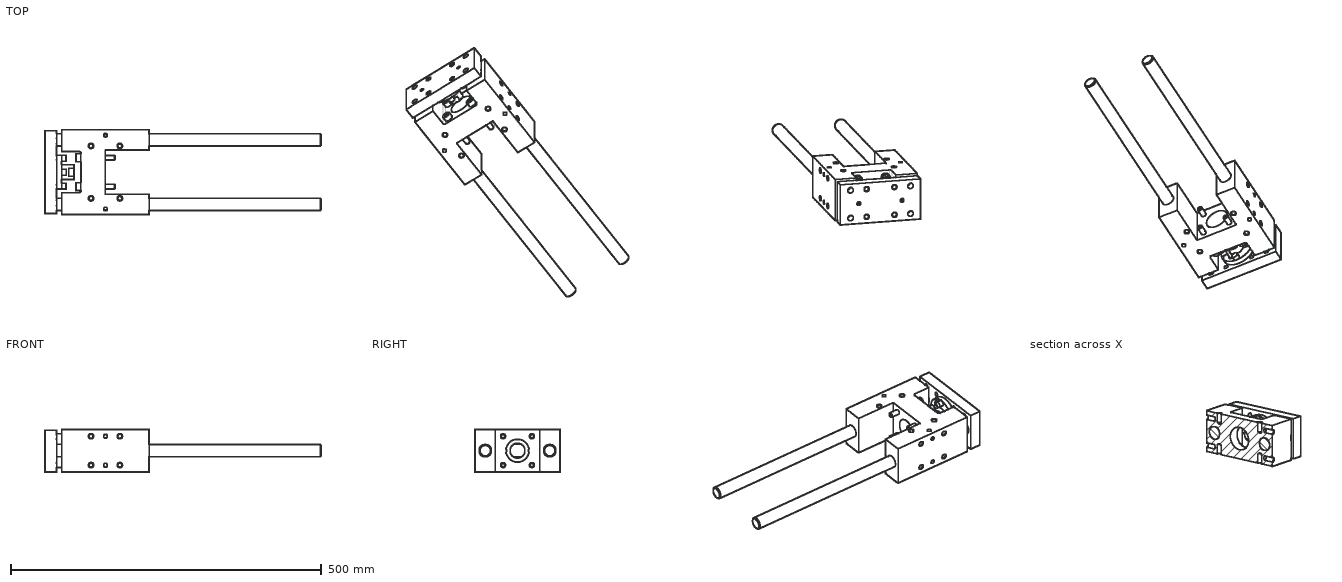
import cadquery as cq
import math

housing_length = 141.0
housing_width = 137.0
housing_height = 69.0
web_thickness = 39.5
front_bay_depth = 31.0
front_bay_width = 66.0
front_bay_corner_radius = 3.0
rear_bay_width = 71.0

total_length = 445.0
plate_thickness = 19.0
plate_width = 134.0
plate_height = 67.5
plate_gap = 8.0
rod_diameter = 20.0
rod_spacing = 104.0
rod_chamfer = 1.5

flange_diameter = 55.0
flange_thickness = plate_gap
flange_screw_circle = 45.0
flange_screw_count = 4
flange_screw_diameter = 10.0
flange_screw_height = 7.0
stud_diameter = 24.0
stud_end_x = 47.0
stud_flat_length = 9.0
stud_across_flats = 20.0

screw_pitch = 46.5
screw_diameter = 8.0
screw_head_diameter = 13.0
screw_head_height = 8.0
screw_socket_across_flats = 6.0
screw_socket_depth = 4.0
screw_protrusion = 15.5
screw_chamfer = 1.2
cylinder_bore = 37.0

thread_core_diameter = 6.65
thread_mouth_diameter = 8.5
thread_depth = 16.0
thread_mouth_depth = (thread_mouth_diameter - thread_core_diameter) / 2
drill_tip_angle = 118.0
dowel_diameter = 6.0
dowel_depth = 8.0
clearance_diameter = 9.0
hole_pitch = screw_pitch
top_thread_spacing = 84.5
top_dowel_spacing = 119.0
plate_clearance_spacing = 100.0
plate_dowel_spacing = 72.0

plate_middle_z = (plate_height - housing_height) / 2
housing_front_x = plate_thickness + plate_gap
housing_middle_x = housing_front_x + housing_length / 2
housing_rear_x = housing_front_x + housing_length
web_front_x = housing_front_x + front_bay_depth
web_rear_x = web_front_x + web_thickness
flange_end_x = plate_thickness + flange_thickness
halves = (-0.5, 0.5)


def x_cylinder(diameter, x_start, x_end, y=0.0, z=0.0):
    """Cylinder along X between two X positions."""
    disc = cq.Workplane("YZ", origin=(x_start, y, z)).circle(diameter / 2)
    return disc.extrude(x_end - x_start)


def blind_hole(diameter, depth, entry, direction):
    """Flat-bottomed hole tool starting at a face."""
    return cq.Solid.makeCylinder(diameter / 2, depth, cq.Vector(*entry), cq.Vector(*direction))


def drill_tip(entry, direction):
    """Conical end left by the drill below a threaded hole."""
    radius = thread_core_diameter / 2
    tip_length = radius / math.tan(math.radians(drill_tip_angle / 2))
    axis = cq.Vector(*direction)
    return cq.Solid.makeCone(radius, 0, tip_length, cq.Vector(*entry) + axis * thread_depth, axis)


def thread_mouth(entry, direction):
    """Countersink at the mouth of a threaded hole."""
    return cq.Solid.makeCone(
        thread_mouth_diameter / 2, thread_core_diameter / 2, thread_mouth_depth,
        cq.Vector(*entry), cq.Vector(*direction),
    )


def threaded_hole(entry, direction):
    """Blind threaded hole with a countersunk mouth and a conical end."""
    core = blind_hole(thread_core_diameter, thread_depth, entry, direction)
    return core.fuse(thread_mouth(entry, direction), drill_tip(entry, direction))


def make_web_screw(y, z):
    """Socket head screw running through the web, with its tip in the rear bay."""
    head_x = web_front_x - screw_head_height
    head = x_cylinder(screw_head_diameter, head_x, web_front_x, y, z)
    shank = x_cylinder(screw_diameter, web_front_x, web_rear_x + screw_protrusion, y, z)
    shank = shank.faces(">X").chamfer(screw_chamfer)
    socket_diameter = screw_socket_across_flats / math.cos(math.pi / 6)
    socket = cq.Workplane("YZ", origin=(head_x, y, z)).polygon(6, socket_diameter)
    return head.union(shank).cut(socket.extrude(screw_socket_depth))


def drill_face_row(block, y, z, dowel_y, inward):
    """Cut two threaded holes along X and the dowel hole midway between them."""
    dowel_entry = (housing_middle_x, dowel_y, z)
    block = block.cut(cq.Workplane(blind_hole(dowel_diameter, dowel_depth, dowel_entry, inward)))
    for along in halves:
        entry = (housing_middle_x + along * hole_pitch, y, z)
        block = block.cut(cq.Workplane(threaded_hole(entry, inward)))
    return block


def make_housing():
    """H-shaped block with its rod bores, web bore, screws and mounting holes."""
    block = cq.Workplane("XY").box(housing_length, housing_width, housing_height)
    block = block.translate((housing_middle_x, 0, 0))

    front_bay = cq.Workplane("XY").box(front_bay_depth, front_bay_width, housing_height)
    front_bay = front_bay.edges("|Z and >X").fillet(front_bay_corner_radius)
    block = block.cut(front_bay.translate((housing_front_x + front_bay_depth / 2, 0, 0)))

    rear_bay_depth = housing_rear_x - web_rear_x
    rear_bay = cq.Workplane("XY").box(rear_bay_depth, rear_bay_width, housing_height)
    block = block.cut(rear_bay.translate((web_rear_x + rear_bay_depth / 2, 0, 0)))

    block = block.cut(x_cylinder(cylinder_bore, web_front_x, web_rear_x))
    for side in halves:
        block = block.cut(x_cylinder(rod_diameter, housing_front_x, housing_rear_x, side * rod_spacing))

    for y_side in halves:
        for z_side in halves:
            block = block.union(make_web_screw(y_side * screw_pitch, z_side * screw_pitch))

    for side in halves:
        for across in halves:
            y = across * top_thread_spacing
            dowel_y = across * top_dowel_spacing
            block = drill_face_row(block, y, side * housing_height, dowel_y, (0, 0, -2 * side))

    for side in halves:
        for across in halves:
            y = side * housing_width
            block = drill_face_row(block, y, across * hole_pitch, y, (0, -2 * side, 0))
    return block


def make_coupling():
    """Round flange with its screw heads and a stud with two wrench flats."""
    coupling = x_cylinder(flange_diameter, plate_thickness, flange_end_x)
    screw_end_x = flange_end_x + flange_screw_height
    for index in range(flange_screw_count):
        angle = 2 * math.pi * index / flange_screw_count
        y = flange_screw_circle / 2 * math.cos(angle)
        z = flange_screw_circle / 2 * math.sin(angle)
        coupling = coupling.union(x_cylinder(flange_screw_diameter, flange_end_x, screw_end_x, y, z))

    stud = x_cylinder(stud_diameter, flange_end_x, stud_end_x)
    flat_cut = cq.Workplane("XY").box(stud_flat_length, stud_diameter, stud_diameter)
    for side in (-1, 1):
        z = side * (stud_across_flats + stud_diameter) / 2
        stud = stud.cut(flat_cut.translate((stud_end_x - stud_flat_length / 2, 0, z)))
    return coupling.union(stud)


def make_slide():
    """Front plate carrying both guide rods and the coupling."""
    plate = cq.Workplane("XY").box(plate_thickness, plate_width, plate_height)
    plate = plate.translate((plate_thickness / 2, 0, plate_middle_z))

    for y_side in halves:
        dowel_y = y_side * plate_dowel_spacing
        plate = plate.cut(x_cylinder(dowel_diameter, 0, dowel_depth, dowel_y, plate_middle_z))
        for z_side in halves:
            z = plate_middle_z + z_side * hole_pitch
            clearance_y = y_side * plate_clearance_spacing
            plate = plate.cut(x_cylinder(clearance_diameter, 0, plate_thickness, clearance_y, z))
            thread_y = y_side * hole_pitch
            plate = plate.cut(x_cylinder(thread_core_diameter, 0, plate_thickness, thread_y, z))
            plate = plate.cut(cq.Workplane(thread_mouth((0, thread_y, z), (1, 0, 0))))

    for side in halves:
        rod = x_cylinder(rod_diameter, plate_thickness, total_length, side * rod_spacing)
        plate = plate.union(rod.faces(">X").chamfer(rod_chamfer))
    return plate.union(make_coupling())


housing = make_housing()
slide = make_slide()
result = cq.Compound.makeCompound([housing.val(), slide.val()])